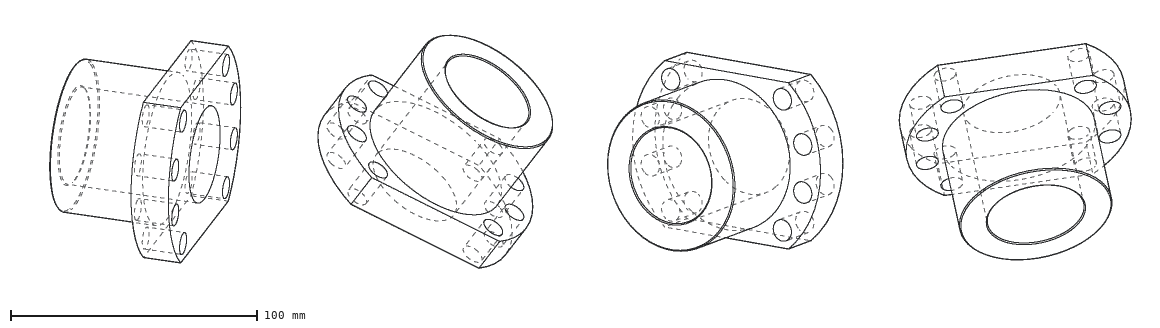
import cadquery as cq
import math

total_length = 56.0
flange_thickness = 16.0
flange_diameter = 93.0
flange_height = 70.0
barrel_diameter = 63.0
bore_diameter = 40.0
edge_chamfer = 0.5

bolt_hole_diameter = 9.0
bolt_circle_radius = 39.0
bolt_angles = [
    side + offset
    for side in (0, 180)
    for offset in (-45, -15, 15, 45)
]

barrel_length = total_length - flange_thickness


def make_barrel():
    """Cylinder from X = 0 to the flange, chamfered at its free end."""
    barrel = cq.Workplane("YZ").circle(barrel_diameter / 2).extrude(barrel_length)
    return barrel.faces("<X").chamfer(edge_chamfer)


def make_flange():
    """Round flange with parallel flats at top and bottom."""
    disc = cq.Workplane("YZ", origin=(barrel_length, 0, 0))
    disc = disc.circle(flange_diameter / 2).extrude(flange_thickness)
    flats = cq.Workplane("YZ", origin=(barrel_length, 0, 0))
    flats = flats.rect(flange_diameter, flange_height).extrude(flange_thickness)
    return disc.intersect(flats)


def make_bore():
    """Through bore, widened by a chamfer at the mouth in the barrel end."""
    bore = cq.Workplane("YZ").circle(bore_diameter / 2).extrude(total_length)
    mouth = (
        cq.Workplane("YZ")
        .circle(bore_diameter / 2 + edge_chamfer)
        .workplane(offset=edge_chamfer)
        .circle(bore_diameter / 2)
        .loft()
    )
    return bore.union(mouth)


def make_bolt_holes():
    """Plain holes through the flange at the listed bolt angles."""
    centers = [
        (
            bolt_circle_radius * math.cos(math.radians(angle)),
            bolt_circle_radius * math.sin(math.radians(angle)),
        )
        for angle in bolt_angles
    ]
    holes = cq.Workplane("YZ", origin=(barrel_length, 0, 0)).pushPoints(centers)
    holes = holes.circle(bolt_hole_diameter / 2).extrude(flange_thickness)
    return holes


result = make_barrel().union(make_flange()).cut(make_bore()).cut(make_bolt_holes())